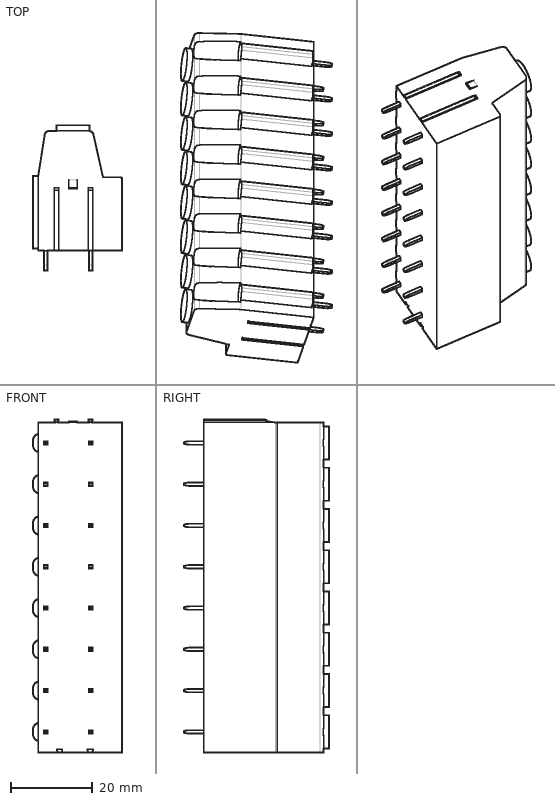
import cadquery as cq
import math


pole_count = 8
pole_pitch = 10.16
row_length = pole_count * pole_pitch
pole_levels = [(i + 0.5) * pole_pitch for i in range(pole_count)]

body_width = 20.7
body_height = 29.5
left_shoulder_y = 18.4
right_shoulder_y = 18.1
crown_left_x = 1.75
crown_right_x = 13.45
right_foot_x = 16.0
crown_radius = 1.2
ledge_radius = 0.5

screw_x = 8.6
screw_radius = 4.1
screw_height = 1.4

groove_radius = 2.8
groove_axis_x = 0.36

rib_height = 1.3
rib_half_width = 2.25
rib_flat_half = 0.52
rib_start_y = 0.5

pin_xs = (1.9, 12.95)
pin_size = 0.9
pin_length = 4.9
pin_tip_length = 1.4
pin_tip_thickness = 0.4
pin_embed = 1.0

rail_xs = (4.5, 12.85)
rail_height = 0.75
rail_outer_width = 1.1
rail_neck_width = 0.45
rail_length = 15.5
rail_end_bevel_length = 0.6
rail_end_bevel_drop = 0.2
slot_xs = (5.3, 12.85)
slot_depth = 0.8
slot_inner_width = 1.4
slot_mouth_width = 0.8
dovetail_lip = 0.3

wedge_width = 2.0
wedge_start_y = 15.3
wedge_peak_y = 15.5
wedge_end_y = 17.5
wedge_height = 0.3

overlap = 0.2


def make_housing():
    outline = [
        (0, 0),
        (body_width, 0),
        (body_width, right_shoulder_y),
        (right_foot_x, right_shoulder_y),
        (crown_right_x, body_height),
        (crown_left_x, body_height),
        (0, left_shoulder_y),
    ]
    housing = cq.Workplane("XY").polyline(outline).close().extrude(row_length)
    crown_edges = cq.selectors.BoxSelector(
        (0, body_height - overlap, 0), (body_width, body_height + overlap, row_length)
    )
    housing = housing.edges("|Z").edges(crown_edges).fillet(crown_radius)
    ledge_edge = cq.selectors.NearestToPointSelector((body_width, right_shoulder_y, row_length / 2))
    return housing.edges("|Z").edges(ledge_edge).fillet(ledge_radius)


def along_y(x, z, start_y):
    """Workplane at (x, start_y, z) facing +Y, with local x = -X and local y = Z."""
    plane = cq.Plane(origin=(x, start_y, z), xDir=(-1, 0, 0), normal=(0, 1, 0))
    return cq.Workplane(plane)


def make_groove(z):
    length = body_height - left_shoulder_y
    return along_y(groove_axis_x, z, left_shoulder_y).circle(groove_radius).extrude(length)


def make_screw(z):
    return along_y(screw_x, z, body_height - overlap).circle(screw_radius).extrude(screw_height + overlap)


def tangent_arc_middle(run, drop):
    """Middle of an arc that starts level and falls by drop over run, as (run, drop) offsets."""
    radius = (run**2 + drop**2) / (2 * drop)
    half_angle = math.asin(run / radius) / 2
    return radius * math.sin(half_angle), radius * (1 - math.cos(half_angle))


def make_rib(z):
    """Rib with a narrow flat top and a rounded side tangent to it on either side."""
    mid_run, mid_drop = tangent_arc_middle(rib_half_width - rib_flat_half, rib_height)
    mid_x = rib_height - mid_drop
    mid_z = rib_flat_half + mid_run
    return (
        along_y(0, z, rib_start_y)
        .moveTo(-overlap, -rib_half_width)
        .lineTo(0, -rib_half_width)
        .threePointArc((mid_x, -mid_z), (rib_height, -rib_flat_half))
        .lineTo(rib_height, rib_flat_half)
        .threePointArc((mid_x, mid_z), (0, rib_half_width))
        .lineTo(-overlap, rib_half_width)
        .close()
        .extrude(left_shoulder_y - rib_start_y)
    )


def make_pin(x, z):
    """Square pin whose tip narrows in Z along arcs tangent to its shank."""
    half = pin_size / 2
    tip_half = pin_tip_thickness / 2
    tip_start_y = pin_tip_length - pin_length
    mid_run, mid_drop = tangent_arc_middle(pin_tip_length, half - tip_half)
    mid_y = tip_start_y - mid_run
    mid_z = half - mid_drop
    return (
        cq.Workplane("YZ", origin=(x - half, 0, z))
        .moveTo(pin_embed, -half)
        .lineTo(pin_embed, half)
        .lineTo(tip_start_y, half)
        .threePointArc((mid_y, mid_z), (-pin_length, tip_half))
        .lineTo(-pin_length, -tip_half)
        .threePointArc((mid_y, -mid_z), (tip_start_y, -half))
        .close()
        .extrude(pin_size)
    )


def make_dovetail(x, z, base_width, top_width, height):
    """Dovetail prism along Y, rising from level z and ending in a straight-sided lip."""
    outline = [
        (-base_width / 2, 0),
        (base_width / 2, 0),
        (top_width / 2, height - dovetail_lip),
        (top_width / 2, height),
        (-top_width / 2, height),
        (-top_width / 2, height - dovetail_lip),
    ]
    return along_y(x, z, 0).polyline(outline).close().extrude(rail_length)


def make_rail(x):
    """Dovetail rail with a shallow bevel at its inner end."""
    rail = make_dovetail(x, row_length, rail_neck_width, rail_outer_width, rail_height)
    bevel = (
        cq.Workplane("YZ", origin=(x - rail_outer_width / 2, 0, row_length))
        .moveTo(rail_length, rail_height - rail_end_bevel_drop)
        .lineTo(rail_length, rail_height)
        .lineTo(rail_length - rail_end_bevel_length, rail_height)
        .close()
        .extrude(rail_outer_width)
    )
    return rail.cut(bevel)


def make_wedge():
    peak_z = row_length + wedge_height
    outline = [
        (wedge_start_y, row_length),
        (wedge_peak_y, peak_z),
        (wedge_end_y, row_length),
    ]
    plane = cq.Workplane("YZ", origin=(screw_x - wedge_width / 2, 0, 0))
    return plane.polyline(outline).close().extrude(wedge_width)


result = make_housing()

for pole_z in pole_levels:
    result = result.cut(make_groove(pole_z))
    result = result.union(make_rib(pole_z))
    result = result.union(make_screw(pole_z))
    for pin_x in pin_xs:
        result = result.union(make_pin(pin_x, pole_z))

for rail_x in rail_xs:
    result = result.union(make_rail(rail_x))

for slot_x in slot_xs:
    result = result.cut(make_dovetail(slot_x, 0, slot_mouth_width, slot_inner_width, slot_depth))

result = result.union(make_wedge())